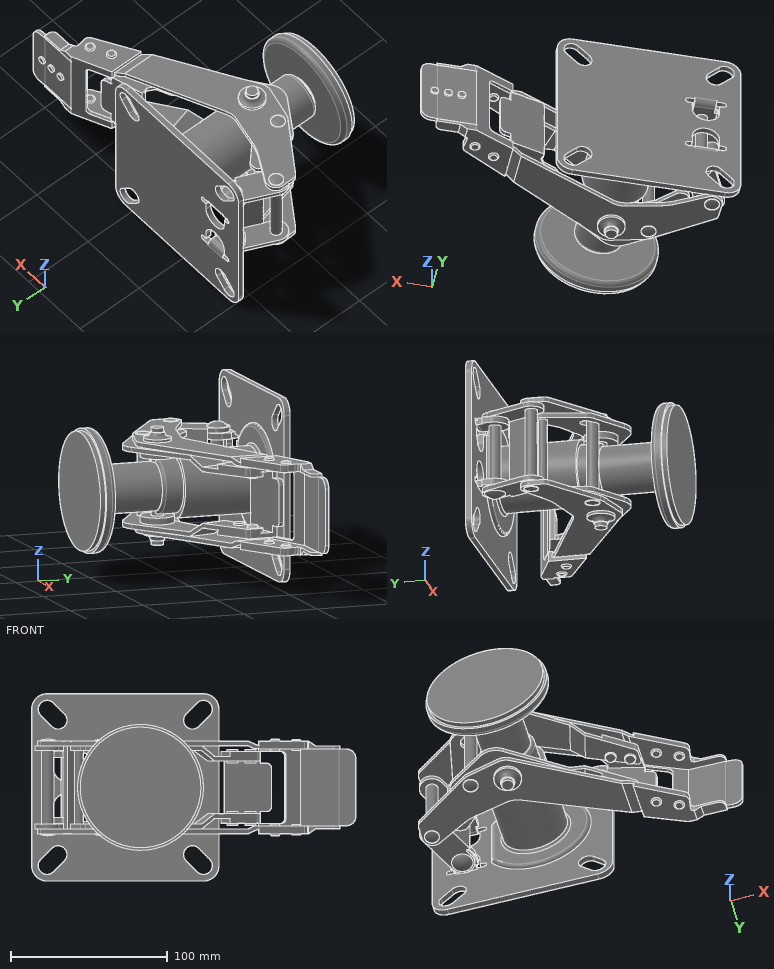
import cadquery as cq
import math


plate_size = 120.0
plate_thickness = 4.1
plate_corner_radius = 10.0
plate_centre_x = -9.8
slot_offset = 46.5
slot_width = 11.2
slot_centre_distance = 10.0

flange_radius = 36.0
flange_front_y = -6.6
flange_edge_radius = 2.3
flange_flat_x = -30.0
tube_radius = 21.5
tube_end_y = -60.8
tube_root_fillet = 1.7

collar_radius = 18.3
collar_end_y = -74.5
collar_fillet = 1.9
plunger_radius = 16.0
plunger_end_y = -113.3
plunger_end_fillet = 3.0
neck_radius = 12.5
foot_top_y = -114.5
foot_radius = 40.2
foot_edge_radius = 3.0
foot_step_y = -121.5
foot_pad_radius = 38.5
foot_bottom_y = -125.0

lug_inner_z = 19.0
lug_outer_z = lug_inner_z + plate_thickness
sheet = 3.1
inner_layer_z = 23.5
outer_layer_z = inner_layer_z + sheet
outer_face_z = outer_layer_z + sheet

link_top_pin = (-46.9, -14.0)
link_bottom_pin = (-59.3, -40.9)
inner_tip_pin = (-39.5, -43.5)
stop_pin = (-24.5, -72.6)
cross_pin = (0.0, -72.0)

link_pin_radius = 4.0
inner_tip_pin_radius = 3.0
stop_pin_radius = 4.0
cross_pin_radius = 4.0
cross_pin_end_z = 38.2
washer_radius = 11.0
cup_radius = 9.0
cup_rim_z = 31.5
cup_top_radius = 4.5
cup_top_z = 35.3
cup_flare_radius = 5.5
cup_flare_z = 33.0

link_head_radius = 6.8
link_head_height = outer_face_z - outer_layer_z
small_head_radius = 4.8
small_head_rim = 0.5
small_head_crown = 0.8

lug_radius = 9.0
lug_neck_half_width = 7.0
lug_shoulder_y = -7.5
lug_bend_radius = 4.0
window_tip_z = 12.7
relief_width = 3.7
relief_z = 20.0
relief_reach = 13.3

link_end_radius = 8.0
link_web_outer = 11.0
link_web_start = 5.4
link_web_end = 23.5

lever_end_top = (75.7, -20.7)
lever_end_bottom = (75.7, -43.4)
outer_jog_start_x = 68.9
outer_jog_end_x = 75.3
outer_jog_inner_end_x = 72.6
outer_jog_face_z = 26.8
pedal_inner_z = 24.58
pedal_sheet = 2.5
pedal_flange_x = 107.5
pedal_narrow_x = 112.0
pedal_narrow_z = 26.5
pedal_side_end_x = 127.4
pedal_side_bottom_y = -14.1
pedal_side_radius = 4.1
pedal_tip_x = 137.8
pedal_tip_radius = 6.2
pedal_bend = (101.7, -6.8)
pedal_tip_bend = (127.0, -6.6)
pedal_start = (outer_jog_end_x, -18.5)
pedal_tip_y = -6.0
pedal_cutout_x = 92.1
pedal_cutout_half_width = 23.0
pedal_cutout_radius = 3.3

inner_arm_end_x = 76.5
inner_arm_corner = (inner_arm_end_x, -38.4)
inner_arm_corner_radius = 3.1
inner_apex = (-5.4, -95.6)
inner_jog_start_x = 37.8
inner_jog_end_x = 47.3
inner_jog_depth = 6.6
inner_jog_pivot = (47.3, -58.0)
inner_jog_tilt = 14.6
arm_outer_z = outer_layer_z - inner_jog_depth
arm_inner_z = inner_layer_z - inner_jog_depth
inner_pedal_start = (53.5, -25.0)
inner_pedal_slope = 0.27
inner_pedal_corner_x = 57.0
inner_pedal_tip_x = 83.8
inner_pedal_half_width = 15.5
inner_pedal_tip_radius = 3.3
stop_slot_reach = (-3.7, 3.3)

outer_rivets = [(86.0, -27.5, 1.2), (99.5, -21.2, 0.8)]
outer_rivet_radius = 3.3
inner_rivets = [(58.7, -38.0), (70.3, -33.2)]
inner_rivet_radius = 3.63
inner_rivet_height = 1.2
outer_rivet_taper = 0.8
inner_rivet_taper = 0.2
pedal_stud_places = [111.2, 120.1, 129.0]
pedal_stud_radius = 2.5
pedal_stud_height = 1.5

beyond = 166.0


def rounded_outline(corners, plane="XY"):
    """Closed outline from (x, y, radius) corners, each rounded by a tangent arc."""
    outline = cq.Workplane(plane)
    started = False
    for i, (x, y, radius) in enumerate(corners):
        before = cq.Vector(*corners[i - 1][:2])
        after = cq.Vector(*corners[(i + 1) % len(corners)][:2])
        corner = cq.Vector(x, y)
        to_before = (before - corner).normalized()
        to_after = (after - corner).normalized()
        half_angle = to_before.getAngle(to_after) / 2
        setback = radius / math.tan(half_angle)
        arc_start = corner + to_before * setback
        arc_end = corner + to_after * setback
        bisector = (to_before + to_after).normalized()
        arc_middle = corner + bisector * (radius / math.sin(half_angle) - radius)
        if started:
            outline = outline.lineTo(arc_start.x, arc_start.y)
        else:
            outline = outline.moveTo(arc_start.x, arc_start.y)
            started = True
        if radius > 0:
            outline = outline.threePointArc((arc_middle.x, arc_middle.y), (arc_end.x, arc_end.y))
    return outline.close()


def slab(outline, z_from, z_to):
    """An XY outline extruded between two heights."""
    return outline.extrude(z_to - z_from).translate((0, 0, z_from))


def bent_sheet(outline, band, pivot=(0, 0), tilt=0):
    """A sheet with an XY outline whose thickness follows the band drawn in XZ.

    The bend lines run along Y, turned by the tilt in degrees about the pivot.
    """
    strip = cq.Workplane("XZ").polyline(band).close().extrude(beyond, both=True)
    strip = strip.rotate((*pivot, 0), (*pivot, 1), tilt)
    return slab(outline, 0, beyond).intersect(strip)


def z_cylinder(centre, radius, z_from, z_to):
    return cq.Workplane("XY").center(*centre).circle(radius).extrude(z_to - z_from).translate((0, 0, z_from))


def y_cylinder(radius, y_from, y_to):
    """A cylinder on the plunger axis running forward from y_from to y_to."""
    return cq.Workplane("XZ").circle(radius).extrude(y_from - y_to).translate((0, y_from, 0))


def through_pin(centre, radius, half_length):
    return z_cylinder(centre, radius, -half_length, half_length)


def dome(centre, radius, height, base_z):
    """A spherical cap standing on the plane Z = base_z."""
    profile = (
        cq.Workplane("XZ")
        .lineTo(radius, 0)
        .threePointArc(cap_middle(radius, height), (0, height))
        .close()
    )
    return profile.revolve(360, (0, 0, 0), (0, 1, 0)).translate((*centre, base_z))


def cap_middle(radius, height):
    """Midpoint of the arc from a cap's rim to its crown."""
    sphere = (radius**2 + height**2) / (2 * height)
    half_angle = math.asin(radius / sphere) / 2
    return (sphere * math.sin(half_angle), sphere * math.cos(half_angle) - sphere + height)


def rivet_head(centre, radius, taper, height, base_z, direction):
    """A low tapered head that stands on Z = base_z and points up (1) or down (-1)."""
    head = cq.Solid.makeCone(
        radius, radius - taper, height, cq.Vector(*centre, base_z), cq.Vector(0, 0, direction)
    )
    return cq.Workplane(head)


def both_sides(half):
    return half.union(half.mirror("XY"))


def lug():
    """One bent-out lug with its narrow neck, through the plate thickness."""
    x, y = link_top_pin
    left, right = x - lug_radius, x + lug_radius
    body = (
        cq.Workplane("XY")
        .moveTo(left, lug_shoulder_y)
        .lineTo(left, y)
        .threePointArc((x, y - lug_radius), (right, y))
        .lineTo(right, lug_shoulder_y)
        .lineTo(x + lug_neck_half_width, lug_shoulder_y)
        .lineTo(x + lug_neck_half_width, 0)
        .lineTo(x - lug_neck_half_width, 0)
        .lineTo(x - lug_neck_half_width, lug_shoulder_y)
        .close()
    )
    bent = slab(body, lug_inner_z, lug_outer_z).edges("|X").edges(">Y").edges("<Z").fillet(lug_bend_radius)
    return bent.cut(through_pin(link_top_pin, link_pin_radius, beyond))


def lug_window():
    """The opening left in the plate where a lug was bent out, with a relief slot across the bend."""
    x = link_top_pin[0]
    left, right = x - lug_radius, x + lug_radius
    opening = (
        cq.Workplane("XZ")
        .moveTo(left, lug_inner_z)
        .lineTo(left, window_tip_z)
        .threePointArc((x, window_tip_z - lug_radius), (right, window_tip_z))
        .lineTo(right, lug_inner_z)
        .close()
        .extrude(plate_thickness)
    )
    bend = (
        cq.Workplane("XZ")
        .center(x, (lug_inner_z + lug_outer_z) / 2)
        .rect(2 * lug_neck_half_width, lug_outer_z - lug_inner_z)
        .extrude(plate_thickness)
    )
    relief = (
        cq.Workplane("XZ")
        .center(x, relief_z)
        .slot2D(2 * relief_reach, relief_width)
        .extrude(plate_thickness)
    )
    return opening.union(bend).union(relief)


def base_plate():
    plate = (
        cq.Workplane("XZ")
        .center(plate_centre_x, 0)
        .rect(plate_size, plate_size)
        .extrude(plate_thickness)
        .edges("|Y")
        .fillet(plate_corner_radius)
    )
    for side_x in (-1, 1):
        for side_z in (-1, 1):
            slot = (
                cq.Workplane("XZ")
                .center(plate_centre_x + side_x * slot_offset, side_z * slot_offset)
                .slot2D(slot_centre_distance + slot_width, slot_width, 45 * side_x * side_z)
                .extrude(plate_thickness)
            )
            plate = plate.cut(slot)
    return plate.cut(both_sides(lug_window())).union(both_sides(lug()))


def tube():
    flange = y_cylinder(flange_radius, -plate_thickness, flange_front_y)
    flat = cq.Workplane("XY").box(beyond, beyond, beyond).translate((flange_flat_x - beyond / 2, 0, 0))
    flange = flange.cut(flat).faces("<Y").edges().fillet(flange_edge_radius)
    barrel = y_cylinder(tube_radius, flange_front_y, tube_end_y)
    root = cq.Workplane(
        cq.Solid.makeCone(
            tube_radius + tube_root_fillet,
            tube_radius,
            tube_root_fillet,
            cq.Vector(0, flange_front_y, 0),
            cq.Vector(0, -1, 0),
        )
    )
    bore = y_cylinder(collar_radius, -plate_thickness, -beyond)
    return flange.union(root).union(barrel).cut(bore)


def make_base():
    return base_plate().union(tube())


def cross_pin_end():
    """One end of the cross pin with its inner washer and the flared cup outside the levers."""
    washer = z_cylinder(cross_pin, washer_radius, lug_inner_z, inner_layer_z)
    cup = (
        cq.Workplane("XZ")
        .moveTo(0, outer_face_z)
        .lineTo(cup_radius, outer_face_z)
        .lineTo(cup_radius, cup_rim_z)
        .threePointArc((cup_flare_radius, cup_flare_z), (cup_top_radius, cup_top_z))
        .lineTo(0, cup_top_z)
        .close()
        .revolve(360, (0, 0, 0), (0, 1, 0))
        .translate((*cross_pin, 0))
    )
    return washer.union(cup)


def make_plunger():
    collar = y_cylinder(collar_radius, -plate_thickness, collar_end_y)
    collar = collar.faces("<Y").edges().fillet(collar_fillet)
    rod = y_cylinder(plunger_radius, collar_end_y, plunger_end_y)
    rod = rod.faces("<Y").edges().fillet(plunger_end_fillet)
    neck = y_cylinder(neck_radius, plunger_end_y, foot_top_y)
    pin = through_pin(cross_pin, cross_pin_radius, cross_pin_end_z)
    return collar.union(rod).union(neck).union(pin).union(both_sides(cross_pin_end()))


def make_foot():
    cap = y_cylinder(foot_radius, foot_top_y, foot_step_y)
    cap = cap.faces(">Y").edges().fillet(foot_edge_radius)
    return cap.union(y_cylinder(foot_pad_radius, foot_step_y, foot_bottom_y))


def make_link():
    """Two arms joined by a web, with the upper hinge pin fixed in them."""
    reach_x = link_bottom_pin[0] - link_top_pin[0]
    reach_y = link_bottom_pin[1] - link_top_pin[1]
    length = math.hypot(reach_x, reach_y)
    direction = math.degrees(math.atan2(reach_y, reach_x))
    arm = (
        cq.Workplane("XY")
        .center(length / 2, 0)
        .slot2D(length + 2 * link_end_radius, 2 * link_end_radius)
        .extrude(sheet)
        .translate((0, 0, inner_layer_z))
    )
    web = (
        cq.Workplane("XY")
        .moveTo(link_web_start, link_web_outer)
        .lineTo(link_web_end, link_web_outer)
        .lineTo(link_web_end, link_web_outer - sheet)
        .lineTo(link_web_start, link_web_outer - sheet)
        .close()
        .extrude(outer_layer_z, both=True)
    )
    frame = both_sides(arm).union(web)
    frame = frame.rotate((0, 0, 0), (0, 0, 1), direction).translate((*link_top_pin, 0))
    frame = frame.cut(through_pin(link_bottom_pin, link_pin_radius, beyond))
    heads = both_sides(dome(link_top_pin, link_head_radius, link_head_height, outer_layer_z))
    return frame.union(through_pin(link_top_pin, link_pin_radius, outer_layer_z)).union(heads)


def outer_lever_plate():
    """The long side plate, stepping inwards where the pedal flange covers it."""
    outline = rounded_outline(
        [
            (-66.2, -29.0, 6.8),
            (-32.5, -47.7, 31.1),
            (-1.2, -54.8, 14.5),
            (*lever_end_top, 0),
            (*lever_end_bottom, 0),
            (1.5, -86.5, 10.4),
            (-26.0, -79.7, 10.4),
            (-65.5, -52.3, 4.1),
        ]
    )
    band = [
        (-beyond, outer_layer_z),
        (outer_jog_start_x, outer_layer_z),
        (outer_jog_inner_end_x, pedal_inner_z),
        (beyond, pedal_inner_z),
        (beyond, outer_jog_face_z),
        (outer_jog_end_x, outer_jog_face_z),
        (outer_jog_start_x, outer_face_z),
        (-beyond, outer_face_z),
    ]
    return bent_sheet(outline, band)


def outer_pedal_side():
    """The pedal flange beside the lever, and its narrower continuation towards the tip."""
    top_y = pedal_bend[1]
    flange = rounded_outline(
        [
            (*pedal_start, 0),
            (*pedal_bend, 2.0),
            (pedal_flange_x, top_y, 0),
            (pedal_flange_x, pedal_side_bottom_y, 0),
            (105.8, -15.1, 0.6),
            (105.8, -17.2, 0.6),
            (107.3, -25.3, 4.1),
            (*lever_end_bottom, 0),
            (outer_jog_end_x, lever_end_bottom[1], 0),
        ]
    )
    narrow = rounded_outline(
        [
            (pedal_flange_x, top_y, 0),
            (pedal_side_end_x, top_y, 0),
            (pedal_side_end_x, pedal_side_bottom_y, pedal_side_radius),
            (pedal_flange_x, pedal_side_bottom_y, 0),
        ]
    )
    narrow_band = [
        (pedal_flange_x, pedal_inner_z),
        (beyond, pedal_inner_z),
        (beyond, pedal_narrow_z),
        (pedal_narrow_x, pedal_narrow_z),
        (pedal_flange_x, outer_face_z),
    ]
    return slab(flange, pedal_inner_z, outer_face_z).union(bent_sheet(narrow, narrow_band))


def outer_pedal_web():
    """The tread: sloping beside the lever, then flat out to the rounded tip."""
    start_x, start_y = pedal_start
    bend_x, bend_y = pedal_bend
    tip_bend_x, tip_bend_y = pedal_tip_bend
    slope = math.atan2(bend_y - start_y, bend_x - start_x)
    drop = pedal_sheet / math.cos(slope)
    inner_bend_x = bend_x + pedal_sheet * math.tan(slope / 2)
    tread = (
        cq.Workplane("XY")
        .polyline(
            [
                pedal_start,
                pedal_bend,
                pedal_tip_bend,
                (pedal_tip_x, pedal_tip_y),
                (pedal_tip_x, pedal_tip_y - pedal_sheet),
                (tip_bend_x, tip_bend_y - pedal_sheet),
                (inner_bend_x, bend_y - pedal_sheet),
                (start_x, start_y - drop),
            ]
        )
        .close()
        .extrude(pedal_inner_z, both=True)
    )
    tread = tread.edges("|Y and >X").fillet(pedal_tip_radius)
    cutout_edge = (pedal_cutout_x, start_y + math.tan(slope) * (pedal_cutout_x - start_x))
    cutout = (
        cq.Workplane("XZ")
        .rect(2 * pedal_cutout_x, 2 * pedal_cutout_half_width)
        .extrude(beyond, both=True)
        .edges("|Y")
        .fillet(pedal_cutout_radius)
        .rotate((*cutout_edge, 0), (*cutout_edge, 1), math.degrees(slope))
    )
    tread = tread.cut(cutout)
    for stud_x in pedal_stud_places:
        stud = cq.Workplane("XZ").center(stud_x, 0).circle(pedal_stud_radius).extrude(-pedal_stud_height)
        tread = tread.union(stud.translate((0, bend_y, 0)))
    return tread


def make_outer_lever():
    side = outer_lever_plate().union(outer_pedal_side())
    side = side.cut(through_pin(cross_pin, cross_pin_radius, beyond))
    for x, y, height in outer_rivets:
        for base_z, direction in ((outer_face_z, 1), (pedal_inner_z, -1)):
            head = rivet_head((x, y), outer_rivet_radius, outer_rivet_taper, height, base_z, direction)
            side = side.union(head)
    for centre in (link_bottom_pin, stop_pin):
        crown_z = outer_face_z + small_head_rim
        side = side.union(z_cylinder(centre, small_head_radius, outer_face_z, crown_z))
        side = side.union(dome(centre, small_head_radius, small_head_crown, crown_z))
    lever = both_sides(side).union(outer_pedal_web())
    lever = lever.union(through_pin(link_bottom_pin, link_pin_radius, outer_face_z))
    return lever.union(through_pin(stop_pin, stop_pin_radius, outer_face_z))


def inner_lever_plate():
    """The inner side plate, stepping inwards to carry the release pedal."""
    outline = rounded_outline(
        [
            (-46.0, -38.2, 4.8),
            (-37.0, -38.2, 4.1),
            (-24.3, -50.6, 6.2),
            (-3.1, -62.2, 12.5),
            (inner_arm_end_x, -26.5, 2.0),
            (*inner_arm_corner, inner_arm_corner_radius),
            (*inner_apex, 13.5),
            (-37.8, -74.5, 7.3),
        ]
    )
    band = [
        (-beyond, inner_layer_z),
        (inner_jog_start_x, inner_layer_z),
        (inner_jog_end_x, arm_inner_z),
        (beyond, arm_inner_z),
        (beyond, arm_outer_z),
        (inner_jog_end_x, arm_outer_z),
        (inner_jog_start_x, outer_layer_z),
        (-beyond, outer_layer_z),
    ]
    return bent_sheet(outline, band, inner_jog_pivot, inner_jog_tilt)


def stop_slot():
    """The slot that lets the inner lever swing about the stop pin."""
    reach_x, reach_y = stop_slot_reach
    length = math.hypot(reach_x, reach_y)
    return (
        cq.Workplane("XY")
        .center(length / 2, 0)
        .slot2D(length + 2 * stop_pin_radius, 2 * stop_pin_radius)
        .extrude(beyond)
        .rotate((0, 0, 0), (0, 0, 1), math.degrees(math.atan2(reach_y, reach_x)))
        .translate((*stop_pin, 0))
    )


def inner_pedal_side():
    start_x, start_y = inner_pedal_start
    full_y = start_y + inner_pedal_slope * (inner_arm_end_x - start_x)
    corner_x, corner_y = inner_arm_corner
    apex_x, apex_y = inner_apex
    lower_edge_y = corner_y + (inner_pedal_corner_x - corner_x) * (corner_y - apex_y) / (corner_x - apex_x)
    flange = rounded_outline(
        [
            (*inner_pedal_start, 0),
            (inner_arm_end_x, full_y, 0),
            (*inner_arm_corner, inner_arm_corner_radius),
            (inner_pedal_corner_x, lower_edge_y, 0),
            (51.2, -36.3, 2.0),
            (54.5, -30.0, 0),
        ]
    )
    return slab(flange, arm_outer_z, arm_outer_z + sheet)


def inner_pedal_web():
    """The release tread, full width between its flanges and narrower at the tip."""
    start_x, start_y = inner_pedal_start

    def tread(end_x, half_width):
        end_y = start_y + inner_pedal_slope * (end_x - start_x)
        return (
            cq.Workplane("XY")
            .polyline([(start_x, start_y), (end_x, end_y), (end_x, end_y - sheet), (start_x, start_y - sheet)])
            .close()
            .extrude(half_width, both=True)
        )

    tip = tread(inner_pedal_tip_x, inner_pedal_half_width)
    tip = tip.edges("|Y and >X").fillet(inner_pedal_tip_radius)
    return tip.union(tread(inner_arm_end_x, arm_outer_z + sheet))


def make_inner_lever():
    side = inner_lever_plate().cut(stop_slot()).union(inner_pedal_side())
    side = side.cut(through_pin(cross_pin, cross_pin_radius, beyond))
    for centre in inner_rivets:
        for base_z, direction in ((arm_outer_z + sheet, 1), (arm_inner_z, -1)):
            head = rivet_head(
                centre, inner_rivet_radius, inner_rivet_taper, inner_rivet_height, base_z, direction
            )
            side = side.union(head)
    lever = both_sides(side).union(inner_pedal_web())
    return lever.union(through_pin(inner_tip_pin, inner_tip_pin_radius, outer_layer_z))


base = make_base()
plunger = make_plunger()
foot = make_foot()
link = make_link()
outer_lever = make_outer_lever()
inner_lever = make_inner_lever()

bodies = [base, plunger, foot, link, outer_lever, inner_lever]
result = cq.Compound.makeCompound([body.solids().val() for body in bodies])